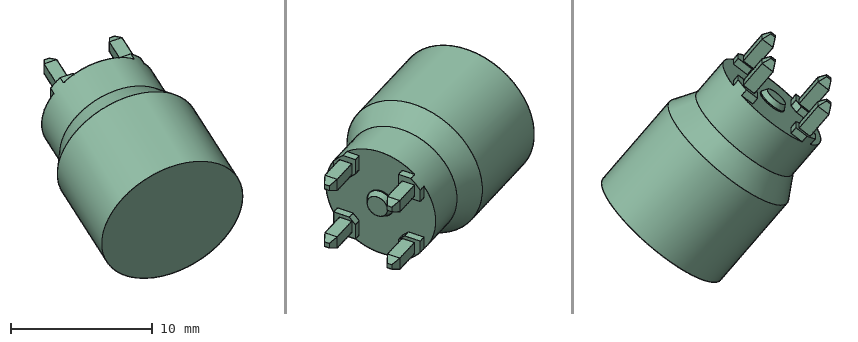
import cadquery as cq

total_length = 15.55
pin_shoulder_x = 0.6
pad_face_x = 2.7
body_face_x = 3.25
flare_start_x = 6.3
flare_end_x = 8.1

barrel_diameter = 10.96
neck_diameter = 8.9
neck_radius = neck_diameter / 2
barrel_radius = barrel_diameter / 2

pin_width = 1.0
pin_tip_width = 0.4
pin_offset = 2.53

pad_inner = 1.74
pad_outer = 3.5
pad_chamfer = 0.5

boss_radius = 1.05
boss_tip_radius = 0.82
boss_height = 0.5
boss_rim_height = 0.1

quadrants = [(1, 1), (1, -1), (-1, 1), (-1, -1)]


def cross_section(x):
    """Workplane normal to +X, with local axes along Y and Z."""
    return cq.Workplane("YZ", origin=(x, 0, 0))


def revolve_about_x(profile):
    """Turn a closed profile of (x, radius) points about the X axis."""
    return cq.Workplane("XY").polyline(profile).close().revolve(360, (0, 0, 0), (1, 0, 0))


def make_body():
    """Narrow neck that flares out to the wide barrel."""
    return revolve_about_x([
        (body_face_x, 0),
        (body_face_x, neck_radius),
        (flare_start_x, neck_radius),
        (flare_end_x, barrel_radius),
        (total_length, barrel_radius),
        (total_length, 0),
    ])


def make_boss():
    """Low round boss that tapers towards its tip."""
    boss_tip_x = body_face_x - boss_height
    boss_rim_x = body_face_x - boss_rim_height
    return revolve_about_x([
        (boss_tip_x, 0),
        (boss_tip_x, boss_tip_radius),
        (boss_rim_x, boss_radius),
        (body_face_x, boss_radius),
        (body_face_x, 0),
    ])


def make_pad(y_side, z_side):
    """Square pad with its inner corner chamfered and its outer corner trimmed to the neck."""
    chamfer_end = pad_inner + pad_chamfer
    corners = [
        (chamfer_end, pad_inner),
        (pad_outer, pad_inner),
        (pad_outer, pad_outer),
        (pad_inner, pad_outer),
        (pad_inner, chamfer_end),
    ]
    outline = [(y_side * y, z_side * z) for y, z in corners]
    pad_height = body_face_x - pad_face_x
    pad = cross_section(pad_face_x).polyline(outline).close().extrude(pad_height)
    neck_limit = cross_section(pad_face_x).circle(neck_radius).extrude(pad_height)
    return pad.intersect(neck_limit)


def make_pin(y_side, z_side):
    """Square pin running from its pyramid tip back to the body face."""
    center = (y_side * pin_offset, z_side * pin_offset)
    shank_length = body_face_x - pin_shoulder_x
    shank = cross_section(pin_shoulder_x).center(*center).rect(pin_width, pin_width).extrude(shank_length)
    tip = (
        cross_section(0)
        .center(*center)
        .rect(pin_tip_width, pin_tip_width)
        .workplane(offset=pin_shoulder_x)
        .rect(pin_width, pin_width)
        .loft(ruled=True)
    )
    return shank.union(tip)


result = make_body().union(make_boss())
for y_side, z_side in quadrants:
    result = result.union(make_pad(y_side, z_side))
    result = result.union(make_pin(y_side, z_side))